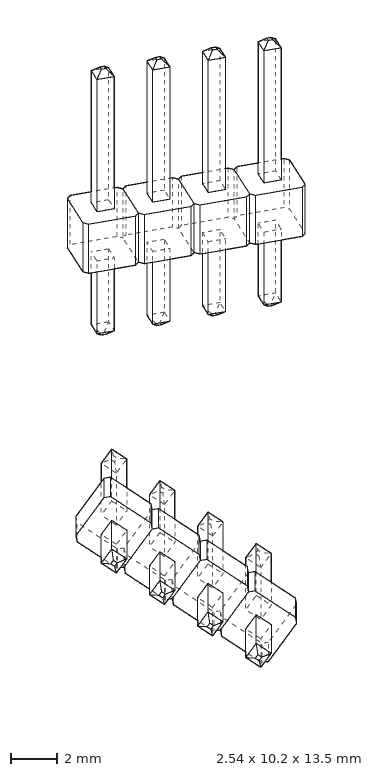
import cadquery as cq

position_count = 4
row_length = 10.17
pitch = row_length / position_count

block_width = pitch
block_height = 2.5
block_corner_chamfer = 0.2

pin_length = 13.5
pin_width = 0.8
pin_tip_chamfer = 0.3
pin_length_below_block = 4.0


def make_block():
    """Square block with its four vertical corners chamfered."""
    return (
        cq.Workplane("XY")
        .rect(block_width, block_width)
        .extrude(block_height)
        .edges("|Z")
        .chamfer(block_corner_chamfer)
    )


def make_pin():
    """Square pin with a blunt pyramid tip at each end."""
    return (
        cq.Workplane("XY")
        .workplane(offset=-pin_length_below_block)
        .rect(pin_width, pin_width)
        .extrude(pin_length)
        .faces("<Z or >Z")
        .chamfer(pin_tip_chamfer)
    )


def make_header_position(y_center):
    """One block and pin formed as a single solid, centred at y_center."""
    return make_block().union(make_pin()).translate((0, y_center, 0))


first_y = -(row_length - pitch) / 2
header_positions = []
for index in range(position_count):
    header_positions.append(make_header_position(first_y + index * pitch))

result = cq.Compound.makeCompound([position.val() for position in header_positions])